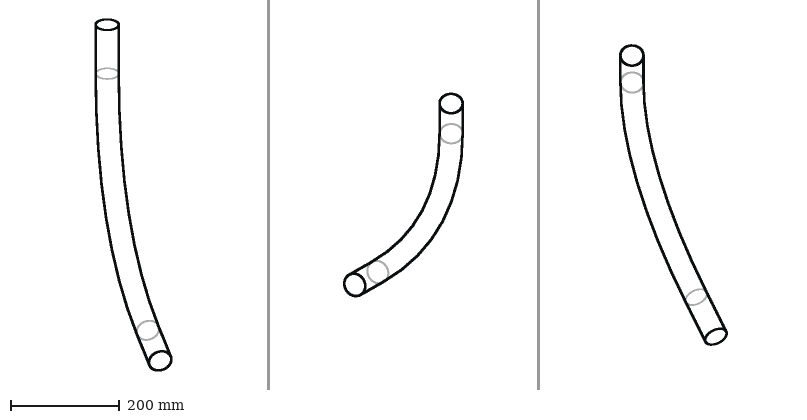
import cadquery as cq
import math

outer_diameter = 44.5
inner_diameter = 40.5
leg_length = 101.0
bend_radius = 1220.0
bend_angle = 30.0


def bend_point(angle):
    """Centreline point (Y, Z) on the bend, turned by angle degrees from its upper end."""
    turn = math.radians(angle)
    return (bend_radius * (1 - math.cos(turn)), -bend_radius * math.sin(turn))


bend_end = bend_point(bend_angle)
slant = math.radians(bend_angle)
lower_end = (
    bend_end[0] + leg_length * math.sin(slant),
    bend_end[1] - leg_length * math.cos(slant),
)
centreline = (
    cq.Workplane("YZ")
    .moveTo(0, leg_length)
    .lineTo(0, 0)
    .threePointArc(bend_point(bend_angle / 2), bend_end)
    .lineTo(*lower_end)
)

result = (
    cq.Workplane("XY", origin=(0, 0, leg_length))
    .circle(outer_diameter / 2)
    .circle(inner_diameter / 2)
    .sweep(centreline)
)